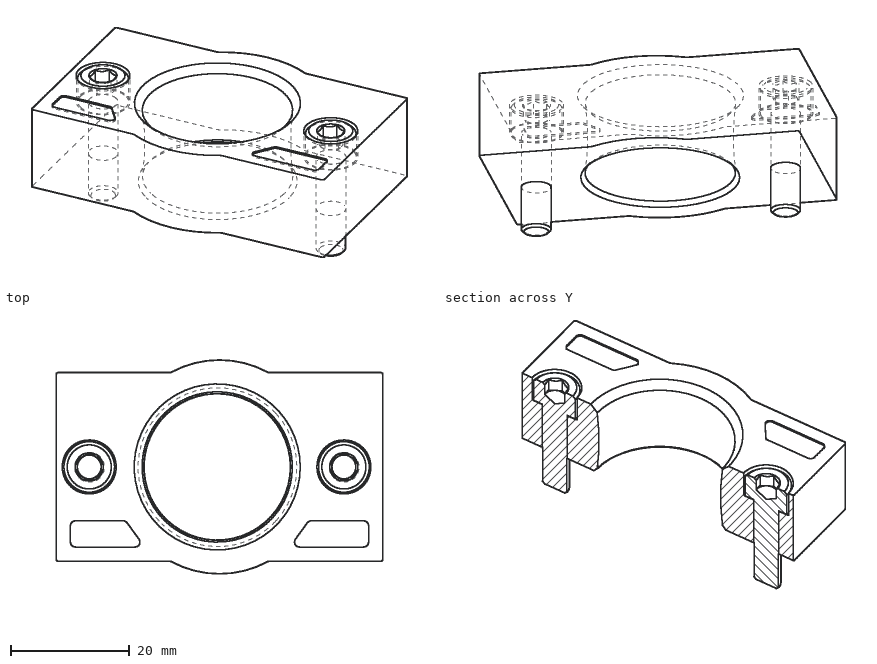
import cadquery as cq
import math

block_length = 55.0
block_width = 31.8
block_height = 14.9
bulge_span = 36.0
bulge_radius = 17.0
bulge_blend_radius = 0.7
corner_radius = 0.4

bore_centre_x = -0.4
bore_waist_diameter = 24.55
bore_end_diameter = 25.3
bore_mouth_diameter = 27.95
bore_outlet_diameter = 26.75
outlet_chamfer_height = 0.8
mouth_chamfer_height = (bore_mouth_diameter - bore_end_diameter) / 2

pocket_outer_x = 25.1
pocket_top_y = -9.1
pocket_bottom_y = -13.5
pocket_top_reach = 15.4
pocket_bottom_reach = 12.2
pocket_depth = 0.3
pocket_corner_radius = 0.8

screw_spacing = 42.85
shank_diameter = 5.0
head_diameter = 8.5
head_height = 5.0
head_chamfer = 0.55
screw_projection = 8.1
tip_diameter = 4.1
socket_width = 4.0
socket_depth = 2.5
socket_mouth_diameter = 4.75
drill_point_angle = 120.0
counterbore_diameter = 9.1

screw_centre_x = -0.5
screw_places = [(screw_centre_x + side * screw_spacing / 2, 0) for side in (-1, 1)]


def make_outline():
    """Plate with rounded corners, blended into the bulges where they meet."""
    plate = cq.Workplane("XY").box(block_length, block_width, block_height, centered=(True, True, False))
    plate = plate.edges("|Z").fillet(corner_radius)
    bulge_centre_y = bulge_span / 2 - bulge_radius
    bulges = (
        cq.Workplane("XY")
        .pushPoints([(0, -bulge_centre_y), (0, bulge_centre_y)])
        .circle(bulge_radius)
        .extrude(block_height)
    )
    blend_zone = cq.selectors.BoxSelector(
        (-bulge_radius, -block_width, 0),
        (bulge_radius, block_width, block_height),
    )
    return plate.union(bulges).edges("|Z").edges(blend_zone).fillet(bulge_blend_radius)


def make_bore_cutter():
    """Bore revolved from its half profile."""
    mouth = bore_mouth_diameter / 2
    end = bore_end_diameter / 2
    lower = outlet_chamfer_height
    upper = block_height - mouth_chamfer_height
    return (
        cq.Workplane("XZ")
        .moveTo(0, 0)
        .lineTo(bore_outlet_diameter / 2, 0)
        .lineTo(end, lower)
        .threePointArc((bore_waist_diameter / 2, (lower + upper) / 2), (end, upper))
        .lineTo(mouth, block_height)
        .lineTo(0, block_height)
        .close()
        .revolve(360, (0, 0, 0), (0, 1, 0))
        .translate((bore_centre_x, 0, 0))
    )


def make_pocket_cutter(side):
    """Pocket with a slanted inner end; side is -1 for left and 1 for right."""
    outer_x = side * pocket_outer_x
    return (
        cq.Workplane("XY")
        .workplane(offset=block_height - pocket_depth)
        .moveTo(outer_x, pocket_top_y)
        .lineTo(bore_centre_x + side * pocket_top_reach, pocket_top_y)
        .lineTo(bore_centre_x + side * pocket_bottom_reach, pocket_bottom_y)
        .lineTo(outer_x, pocket_bottom_y)
        .close()
        .extrude(pocket_depth)
        .edges("|Z")
        .fillet(pocket_corner_radius)
    )


def make_block():
    block = make_outline().cut(make_bore_cutter())
    for side in (-1, 1):
        block = block.cut(make_pocket_cutter(side))
    return (
        block.faces(">Z")
        .workplane(origin=(0, 0, block_height))
        .pushPoints(screw_places)
        .cboreHole(shank_diameter, counterbore_diameter, head_height)
    )


def make_socket_cutter():
    """Hexagon socket with a chamfered mouth and a drill-point floor, opening at the block top."""
    hexagon_sides = 6
    half_hexagon_angle = 180 / hexagon_sides
    corner_diameter = socket_width / math.cos(math.radians(half_hexagon_angle))
    floor_z = block_height - socket_depth
    point_depth = socket_width / 2 / math.tan(math.radians(drill_point_angle / 2))
    hexagon = (
        cq.Workplane("XY")
        .workplane(offset=floor_z)
        .transformed(rotate=(0, 0, half_hexagon_angle))
        .polygon(hexagon_sides, corner_diameter)
        .extrude(socket_depth)
    )
    point = cq.Workplane(
        cq.Solid.makeCone(0, socket_width / 2, point_depth, cq.Vector(0, 0, floor_z - point_depth))
    )
    mouth_height = (socket_mouth_diameter - socket_width) / 2
    mouth = cq.Workplane(
        cq.Solid.makeCone(
            socket_width / 2,
            socket_mouth_diameter / 2,
            mouth_height,
            cq.Vector(0, 0, block_height - mouth_height),
        )
    )
    return hexagon.union(point).union(mouth)


def make_screw(place):
    """Cylinder head screw whose tip projects below the block."""
    shank_length = block_height - head_height + screw_projection
    tip_chamfer = (shank_diameter - tip_diameter) / 2
    head = (
        cq.Workplane("XY")
        .workplane(offset=block_height - head_height)
        .circle(head_diameter / 2)
        .extrude(head_height)
        .faces(">Z")
        .edges()
        .chamfer(head_chamfer)
    )
    shank = (
        cq.Workplane("XY")
        .workplane(offset=-screw_projection)
        .circle(shank_diameter / 2)
        .extrude(shank_length)
        .faces("<Z")
        .edges()
        .chamfer(tip_chamfer)
    )
    screw = head.union(shank).cut(make_socket_cutter())
    return screw.translate((place[0], place[1], 0))


block = make_block()
screws = [make_screw(place) for place in screw_places]

result = cq.Compound.makeCompound([block.val(), *[screw.val() for screw in screws]])